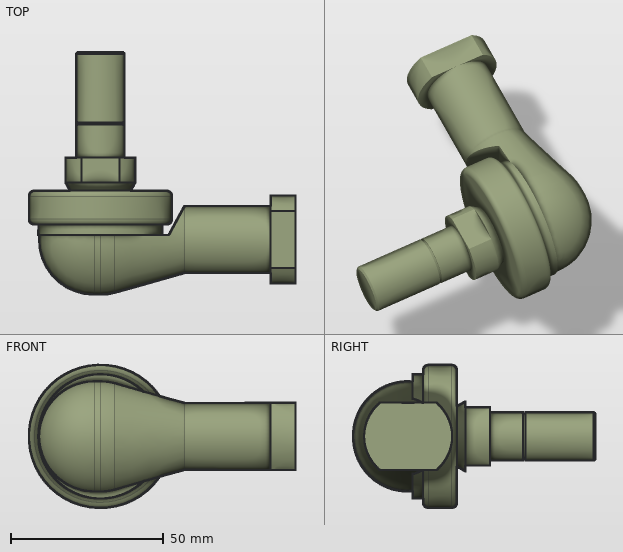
import cadquery as cq
import math

total_length = 87.5
total_depth = 79.5


socket_radius = 18.1
dome_center_x = -2.0
neck_start_x = 4.6
neck_end_x = 27.6
shank_radius = 11.0
collar_start_y = 1.5
relief_end_x = 22.4

head_radius = 14.4
head_length = 8.2

collar_radius = 20.4
collar_height = 3.4
rim_diameter = 47.0
rim_radius = rim_diameter / 2
rim_height = 11.1
rim_fillet = 1.8
rim_start_y = collar_start_y + collar_height
rim_end_y = rim_start_y + rim_height
shank_end_x = total_length - rim_radius

stud_radius = 8.0
stud_end_y = total_depth - socket_radius
stud_chamfer = 0.6
flange_radius = 11.5
flange_across_flats = 19.25
flange_start_y = 18.7
flange_end_y = 26.9
cone_base_radius = 10.0
groove_start_y = 37.6
groove_width = 0.8
groove_depth = 0.4


def disc_y(radius, start_y, end_y):
    """Cylinder around the Y axis between two Y positions."""
    return cq.Workplane("XZ", origin=(0, start_y, 0)).circle(radius).extrude(start_y - end_y)


def two_flat_disc(plane, radius, across_flats, length):
    """Disc with two opposite flats facing +Z and -Z."""
    disc = plane.circle(radius).extrude(length)
    span = 2 * total_length
    return disc.intersect(cq.Workplane("XY").box(span, span, across_flats))


def make_socket_and_shank():
    """Revolved dome, neck and shank, cut flat below the collar."""
    neck_start_radius = math.sqrt(socket_radius**2 - neck_start_x**2)
    dome_mid = socket_radius * math.sqrt(0.5)
    bulge_mid_x = neck_start_x / 2
    bulge_mid_radius = math.sqrt(socket_radius**2 - bulge_mid_x**2)
    body = (
        cq.Workplane("XY")
        .moveTo(dome_center_x - socket_radius, 0)
        .threePointArc((dome_center_x - dome_mid, dome_mid), (dome_center_x, socket_radius))
        .lineTo(0, socket_radius)
        .threePointArc((bulge_mid_x, bulge_mid_radius), (neck_start_x, neck_start_radius))
        .lineTo(neck_end_x, shank_radius)
        .lineTo(shank_end_x, shank_radius)
        .lineTo(shank_end_x, 0)
        .close()
        .revolve(360, (0, 0, 0), (1, 0, 0))
    )
    slope = (shank_radius - collar_start_y) / (neck_end_x - relief_end_x)
    relief_top_y = 2 * socket_radius
    relief_top_x = relief_end_x + (relief_top_y - collar_start_y) / slope
    relief = (
        cq.Workplane("XY")
        .moveTo(-2 * socket_radius, collar_start_y)
        .lineTo(relief_end_x, collar_start_y)
        .lineTo(relief_top_x, relief_top_y)
        .lineTo(-2 * socket_radius, relief_top_y)
        .close()
        .extrude(2 * socket_radius, both=True)
    )
    return body.cut(relief)


def make_housing():
    head_plane = cq.Workplane("YZ", origin=(shank_end_x - head_length, 0, 0))
    head = two_flat_disc(head_plane, head_radius, 2 * shank_radius, head_length)
    collar = disc_y(collar_radius, collar_start_y, rim_start_y)
    rim = disc_y(rim_radius, rim_start_y, rim_end_y).edges().fillet(rim_fillet)
    return make_socket_and_shank().union(head).union(collar).union(rim)


def make_stud():
    """Stud seated on the rim, with a conical foot and a flange with two flats."""
    foot = (
        cq.Workplane("XY")
        .moveTo(0, rim_end_y)
        .lineTo(cone_base_radius, rim_end_y)
        .lineTo(flange_radius, flange_start_y)
        .lineTo(0, flange_start_y)
        .close()
        .revolve(360, (0, 0, 0), (0, 1, 0))
    )
    flange_plane = cq.Workplane("XZ", origin=(0, flange_start_y, 0))
    flange_length = flange_end_y - flange_start_y
    flange = two_flat_disc(flange_plane, flange_radius, flange_across_flats, -flange_length)
    rod = disc_y(stud_radius, flange_end_y, stud_end_y).faces(">Y").chamfer(stud_chamfer)
    groove_end_y = groove_start_y + groove_width
    groove = disc_y(stud_radius, groove_start_y, groove_end_y).cut(
        disc_y(stud_radius - groove_depth, groove_start_y, groove_end_y)
    )
    return foot.union(flange).union(rod.cut(groove))


housing = make_housing()
stud = make_stud()

result = cq.Compound.makeCompound([housing.val(), stud.val()])